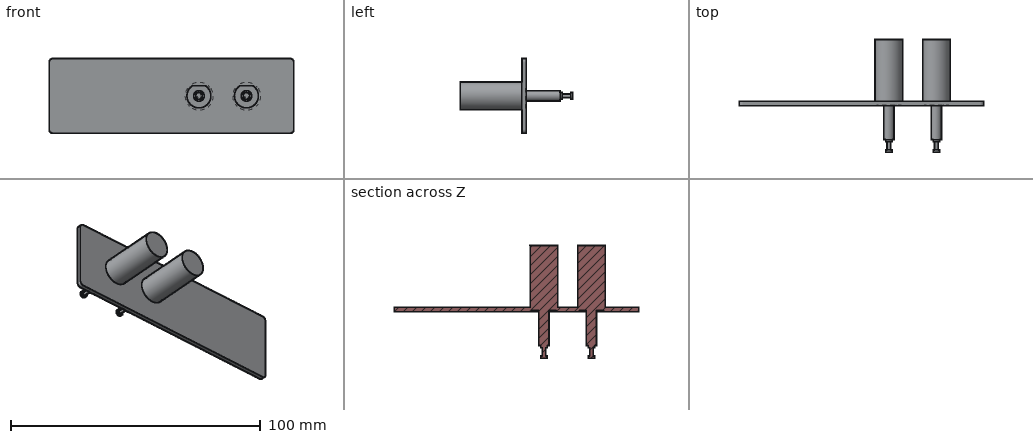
import cadquery as cq

plate_length = 98.0
plate_height = 30.0
plate_thickness = 1.9
corner_radius = 1.6

first_connector_x = 11.0
connector_spacing = 19.0
connector_positions = [first_connector_x, first_connector_x + connector_spacing]

barrel_diameter = 11.2
barrel_length = 24.7

recess_diameter = 9.6
recess_flat_height = 4.0
recess_depth = 0.5

pin_diameter = 4.2
pin_end = 13.5
collar_diameter = 2.7
collar_end = 14.4
neck_diameter = 1.6
neck_end = 17.6
head_diameter = collar_diameter
head_end = 18.6


def cylinder_along_y(x, diameter, y_start, y_end):
    """Cylinder parallel to Y, centered on the plate's mid-height."""
    return (
        cq.Workplane("XZ", origin=(x, y_end, 0))
        .circle(diameter / 2)
        .extrude(y_end - y_start)
    )


def make_plate():
    return (
        cq.Workplane("XZ", origin=(0, plate_thickness, 0))
        .rect(plate_length, plate_height)
        .extrude(plate_thickness)
        .edges("|Y")
        .fillet(corner_radius)
    )


def make_recess(x):
    """Disc with its top cut off flat."""
    disc = cylinder_along_y(x, recess_diameter, 0, recess_depth)
    below_flat = cq.Workplane("XY").box(
        recess_diameter, recess_depth, recess_diameter, centered=(True, False, False)
    ).translate((x, 0, recess_flat_height - recess_diameter))
    return disc.intersect(below_flat)


def make_barrel(x):
    return cylinder_along_y(x, barrel_diameter, plate_thickness, plate_thickness + barrel_length)


def make_pin(x):
    """Pin, collar, thin neck and head, rooted in the recess floor."""
    pin = cylinder_along_y(x, pin_diameter, -pin_end, recess_depth)
    collar = cylinder_along_y(x, collar_diameter, -collar_end, -pin_end)
    neck = cylinder_along_y(x, neck_diameter, -neck_end, -collar_end)
    head = cylinder_along_y(x, head_diameter, -head_end, -neck_end)
    return pin.union(collar).union(neck).union(head)


result = make_plate()
for connector_x in connector_positions:
    result = result.cut(make_recess(connector_x))
    result = result.union(make_barrel(connector_x))
    result = result.union(make_pin(connector_x))